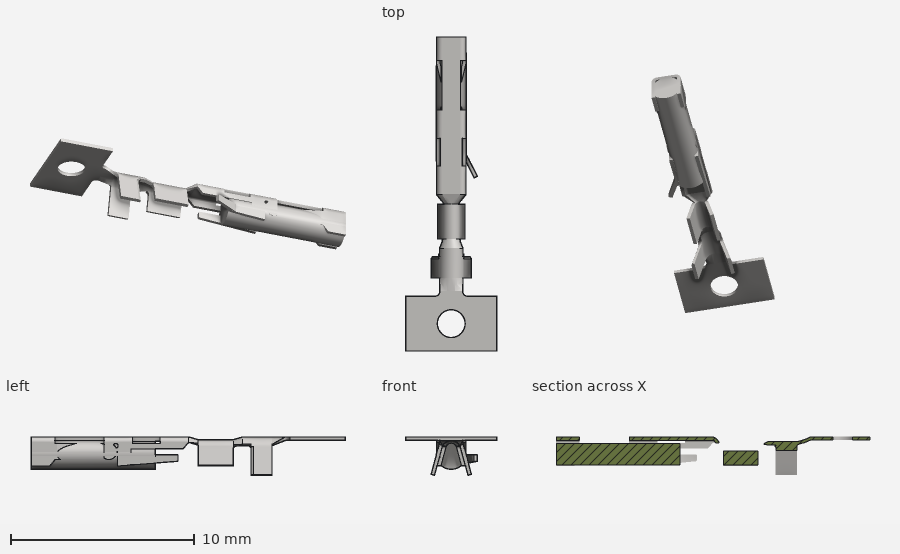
import cadquery as cq
import math


SHEET = 0.2
REACH = 10.0

CARRIER_WIDTH = 4.97
CARRIER_LENGTH = 3.0
PILOT_DIAMETER = 1.5
PILOT_Y = CARRIER_LENGTH / 2
NECK_WIDTH = 1.26
NECK_FILLET = 0.25
NECK_END = CARRIER_LENGTH + NECK_FILLET

WING_FLARE = 15.0
WING_ARC = 90.0 - WING_FLARE
BARE_ARC = 64.0
INSULATION_RADIUS = 0.72
INSULATION_START = 3.98
INSULATION_WING_END = 5.14
INSULATION_END = 5.59
INSULATION_BOTTOM = -2.1
ROOT_FILLET = 0.15
WING_BEVEL_LENGTH = 0.13
WING_BEVEL_DEPTH = 0.07
CONDUCTOR_RADIUS = 0.5
CONDUCTOR_TOP = -0.15
CONDUCTOR_START = 6.1
CONDUCTOR_END = 8.01
CONDUCTOR_BOTTOM = -1.6
CONDUCTOR_END_ARC = 51.0

BOX_START = 8.53
TIP = 17.1
BOX_WIDTH = 1.62
HALF_BOX = BOX_WIDTH / 2
HALF_INSIDE = HALF_BOX - SHEET
BOX_CORNER = 0.31
WALL_BOTTOM = -1.59
TAIL_BOTTOM = -0.66
TAIL_BEVEL = 0.3
SLOT_END = 11.67

CORE_RADIUS = 0.817
CORE_Z = -0.957
CORE_START = 10.34

TONGUE_ROOT = 12.41
TONGUE_END = 9.1
TONGUE_TOP = -0.97
TONGUE_TIP_BOTTOM = -1.34
TONGUE_TIP_RADIUS = 0.06
TONGUE_HINGE = 10.73
TONGUE_BEND = 27.0
BENT_TONGUE_LENGTH = 1.36

ARM_TOP = -0.36
ARM_BOTTOM = -1.237
ARM_ROOT = 15.69
ARM_PEAK_NEAR_TIP = 14.4
ARM_PEAK_REAR = 13.5
ARM_REAR = 13.13
ARM_PRESS = 0.31
ARM_REAR_PRESS = 0.21
ARM_END_RADIUS = (ARM_TOP - ARM_BOTTOM) / 2
ARM_END_Y = 12.87
ARM_END_Z = (ARM_TOP + ARM_BOTTOM) / 2
TIP_WALL_BOTTOM_END = 16.08
TIP_WALL_BEVEL_END = 15.79
RELIEF_RADIUS = 0.13
RELIEF_Y = 12.5
RELIEF_Z = -0.49

FRONT_WINDOW = (ARM_REAR, 15.81)
FRONT_WINDOW_INNER_X = 0.5
REAR_WINDOW = (10.08, 11.58)
REAR_WINDOW_INNER_X = 0.59
WINDOW_BOTTOM = ARM_TOP


def section_plane(y):
    """Cross-section plane at the given Y, drawn in (X, Z), extruding toward -Y."""
    return cq.Workplane("XZ", origin=(0, y, 0))


def block(x_range, y_range, z_range):
    """Axis-aligned block between pairs of limits."""
    size = [high - low for low, high in (x_range, y_range, z_range)]
    corner = (x_range[0], y_range[0], z_range[0])
    return cq.Workplane("XY", origin=corner).box(*size, centered=False)


def arch_points(radius, center_z, half_angle):
    """Ends and middles of three equal arcs over an arch, left to right."""
    angles = [math.radians(half_angle * step / 3) for step in range(-3, 4)]
    return [(radius * math.sin(a), center_z + radius * math.cos(a)) for a in angles]


def corner_points(radius):
    """Ends and middles of a box corner arc, flat top and second corner arc, left to right."""
    center_x = HALF_BOX - BOX_CORNER
    diagonal = radius * math.sqrt(0.5)
    right = [
        (center_x, radius - BOX_CORNER),
        (center_x + diagonal, diagonal - BOX_CORNER),
        (center_x + radius, -BOX_CORNER),
    ]
    left = [(-x, z) for x, z in reversed(right)]
    return left + [(0, radius - BOX_CORNER)] + right


def strip_points(z):
    """Ends and middles of three equal lengths across the flat neck, left to right."""
    return [(NECK_WIDTH / 2 * step / 3, z) for step in range(-3, 4)]


def trace_bands(path, points):
    """Extend a path through three bands, straight or curved, each given by middle and end."""
    for start, middle, end in (points[0:3], points[2:5], points[4:7]):
        straight = math.isclose(start[1], middle[1]) and math.isclose(middle[1], end[1])
        path = path.lineTo(*end) if straight else path.threePointArc(middle, end)
    return path


def sheet_section(y, outer, inner):
    """Closed sheet section between an outer and an inner line of three bands each."""
    path = trace_bands(section_plane(y).moveTo(*outer[0]), outer)
    inner = inner[::-1]
    return trace_bands(path.lineTo(*inner[0]), inner).close()


def arch_section(y, radius, top, half_angle):
    """Closed section of sheet bent to an arch of the given outer radius and top height."""
    center_z = top - radius
    outer = arch_points(radius, center_z, half_angle)
    inner = arch_points(radius - SHEET, center_z, half_angle)
    return sheet_section(y, outer, inner)


def blend(section, other_section):
    """Solid blending one sheet section into another."""
    wires = [item.wire().val() for item in (section, other_section)]
    return cq.Workplane(obj=cq.Solid.makeLoft(wires, True))


def make_carrier():
    half_width = CARRIER_WIDTH / 2
    half_neck = NECK_WIDTH / 2
    fillet_end_x = half_neck + NECK_FILLET
    return (
        cq.Workplane("XY", origin=(0, 0, -SHEET))
        .moveTo(-half_width, 0)
        .lineTo(half_width, 0)
        .lineTo(half_width, CARRIER_LENGTH)
        .lineTo(fillet_end_x, CARRIER_LENGTH)
        .radiusArc((half_neck, NECK_END), NECK_FILLET)
        .lineTo(-half_neck, NECK_END)
        .radiusArc((-fillet_end_x, CARRIER_LENGTH), NECK_FILLET)
        .lineTo(-half_width, CARRIER_LENGTH)
        .close()
        .extrude(SHEET)
        .cut(cq.Workplane("XY").center(0, PILOT_Y).circle(PILOT_DIAMETER / 2).extrude(-SHEET))
    )


def both_sides(solid):
    """The solid together with its mirror image across the middle plane."""
    return solid.union(solid.mirror("YZ"))


def make_wing(y_start, y_end, radius, top, bottom, bevel_length=0.0, bevel_depth=0.0):
    """Right-hand wing tangent to the arch, optionally bevelled on its rear outer edge."""
    flare = math.radians(WING_FLARE)
    root_x = radius * math.cos(flare)
    root_z = top - radius + radius * math.sin(flare)
    length = (root_z - SHEET * math.sin(flare) - bottom) / math.cos(flare)
    plane = cq.Plane(
        origin=(root_x, 0, root_z),
        xDir=(0, 1, 0),
        normal=(math.sin(flare), 0, -math.cos(flare)),
    )
    outline = [(y_start, 0), (y_start, -SHEET), (y_end, -SHEET)]
    if bevel_length > 0:
        outline += [(y_end, -bevel_depth), (y_end - bevel_length, 0)]
    else:
        outline += [(y_end, 0)]
    return cq.Workplane(plane).polyline(outline).close().extrude(length)


def make_root_fillet(wing_edge, direction, radius, top):
    """Rounded inside corners between a wing edge and the free edge of the neighbouring bare arch."""
    free_edge_z = top - radius + (radius - SHEET) * math.cos(math.radians(BARE_ARC))
    center_y = wing_edge + direction * ROOT_FILLET
    center_z = free_edge_z - ROOT_FILLET
    y_range = sorted((wing_edge, center_y))
    sheet = arch_section(y_range[1], radius, top, WING_ARC).extrude(ROOT_FILLET)
    sheet = sheet.union(both_sides(make_wing(*y_range, radius, top, center_z - SHEET)))
    corner = block((-REACH, REACH), y_range, (center_z, free_edge_z))
    rounding = cq.Workplane("YZ").center(center_y, center_z).circle(ROOT_FILLET).extrude(REACH, both=True)
    return sheet.intersect(corner.cut(rounding))


def make_insulation_barrel():
    winged_length = INSULATION_WING_END - INSULATION_START
    winged = arch_section(INSULATION_WING_END, INSULATION_RADIUS, 0, WING_ARC).extrude(winged_length)
    bare_length = INSULATION_END - INSULATION_WING_END
    bare = arch_section(INSULATION_END, INSULATION_RADIUS, 0, BARE_ARC).extrude(bare_length)
    wing = make_wing(
        INSULATION_START,
        INSULATION_WING_END,
        INSULATION_RADIUS,
        0,
        INSULATION_BOTTOM,
        WING_BEVEL_LENGTH,
        WING_BEVEL_DEPTH,
    )
    fillets = make_root_fillet(INSULATION_WING_END, 1, INSULATION_RADIUS, 0)
    return winged.union(bare).union(both_sides(wing)).union(fillets)


def make_conductor_barrel():
    length = CONDUCTOR_END - CONDUCTOR_START
    arch = arch_section(CONDUCTOR_END, CONDUCTOR_RADIUS, CONDUCTOR_TOP, WING_ARC).extrude(length)
    wing = make_wing(
        CONDUCTOR_START, CONDUCTOR_END, CONDUCTOR_RADIUS, CONDUCTOR_TOP, CONDUCTOR_BOTTOM
    )
    fillets = make_root_fillet(CONDUCTOR_START, -1, CONDUCTOR_RADIUS, CONDUCTOR_TOP)
    return arch.union(both_sides(wing)).union(fillets)


def make_blends():
    """Formed lengths joining the carrier, the two barrels and the box."""
    neck = blend(
        sheet_section(NECK_END, strip_points(0), strip_points(-SHEET)),
        arch_section(INSULATION_START, INSULATION_RADIUS, 0, BARE_ARC),
    )
    middle = blend(
        arch_section(INSULATION_END, INSULATION_RADIUS, 0, BARE_ARC),
        arch_section(CONDUCTOR_START, CONDUCTOR_RADIUS, CONDUCTOR_TOP, BARE_ARC),
    )
    shoulder = blend(
        arch_section(CONDUCTOR_END, CONDUCTOR_RADIUS, CONDUCTOR_TOP, CONDUCTOR_END_ARC),
        sheet_section(BOX_START, corner_points(BOX_CORNER), corner_points(BOX_CORNER - SHEET)),
    )
    return neck.union(middle).union(shoulder)


def make_box_shell():
    """Top plate with rounded corners and two side walls, open at the bottom."""
    outer = corner_points(BOX_CORNER)
    inner = corner_points(BOX_CORNER - SHEET)[::-1]
    path = section_plane(TIP).moveTo(-HALF_BOX, WALL_BOTTOM).lineTo(*outer[0])
    path = trace_bands(path, outer).lineTo(HALF_BOX, WALL_BOTTOM)
    path = path.lineTo(HALF_INSIDE, WALL_BOTTOM).lineTo(*inner[0])
    path = trace_bands(path, inner).lineTo(-HALF_INSIDE, WALL_BOTTOM).close()
    return path.extrude(TIP - BOX_START)


def make_wall_outline():
    """Side outline of the box, without the arm openings and tail slot, across its full width."""
    tail_corner_y = BOX_START + TAIL_BEVEL
    rear = (
        cq.Workplane("YZ")
        .moveTo(BOX_START, 0)
        .lineTo(BOX_START, -BOX_CORNER)
        .lineTo(tail_corner_y, TAIL_BOTTOM)
        .lineTo(SLOT_END, TAIL_BOTTOM)
        .lineTo(SLOT_END, TONGUE_TOP)
        .lineTo(CORE_START, TONGUE_TOP)
        .lineTo(CORE_START, tongue_bottom_at(CORE_START))
        .lineTo(TONGUE_ROOT, WALL_BOTTOM)
        .lineTo(TONGUE_ROOT, ARM_END_Z)
        .lineTo(ARM_REAR, ARM_END_Z)
        .lineTo(ARM_REAR, 0)
        .close()
    )
    tip = (
        cq.Workplane("YZ")
        .moveTo(TIP, 0)
        .lineTo(TIP, WALL_BOTTOM)
        .lineTo(TIP_WALL_BOTTOM_END, WALL_BOTTOM)
        .lineTo(TIP_WALL_BEVEL_END, ARM_BOTTOM)
        .lineTo(ARM_ROOT, ARM_BOTTOM)
        .lineTo(ARM_ROOT, ARM_TOP)
        .lineTo(ARM_REAR, ARM_TOP)
        .lineTo(ARM_REAR, 0)
        .close()
    )
    return rear.extrude(HALF_BOX, both=True).union(tip.extrude(HALF_BOX, both=True))


def tongue_bottom_at(y):
    """Height of the tapering lower edge of a tongue."""
    share = (TONGUE_ROOT - y) / (TONGUE_ROOT - TONGUE_END)
    return WALL_BOTTOM + share * (TONGUE_TIP_BOTTOM - WALL_BOTTOM)


def make_tongue(y_start, y_end):
    """Flat right-hand tongue in the plane of the side wall, rounded at its free end."""
    outline = [
        (y_start, TONGUE_TOP),
        (y_end, TONGUE_TOP),
        (y_end, TONGUE_TIP_BOTTOM),
        (y_start, tongue_bottom_at(y_start)),
    ]
    tongue = cq.Workplane("YZ", origin=(HALF_INSIDE, 0, 0)).polyline(outline).close().extrude(SHEET)
    return tongue.faces("<Y").edges("|X").fillet(TONGUE_TIP_RADIUS)


def make_tongues():
    """Straight tongue on the left wall and an outward bent one on the right wall."""
    left = make_tongue(CORE_START, TONGUE_END).mirror("YZ")
    hinge = (HALF_BOX, TONGUE_HINGE)
    right = make_tongue(TONGUE_HINGE, TONGUE_HINGE - BENT_TONGUE_LENGTH).rotate(
        (*hinge, 0), (*hinge, 1), TONGUE_BEND
    )
    return left, right


def make_arm():
    """Right-hand spring arm pressed inward, with its rounded rear end flush with the wall."""
    outer = [
        (HALF_BOX, ARM_ROOT),
        (HALF_BOX - ARM_PRESS, ARM_PEAK_NEAR_TIP),
        (HALF_BOX - ARM_PRESS, ARM_PEAK_REAR),
        (HALF_BOX - ARM_REAR_PRESS, ARM_REAR),
    ]
    inner = [(x - SHEET, y) for x, y in reversed(outer)]
    strip = (
        cq.Workplane("XY", origin=(0, 0, ARM_BOTTOM))
        .polyline(outer + inner)
        .close()
        .extrude(ARM_TOP - ARM_BOTTOM)
    )
    rear_end = (
        cq.Workplane("YZ", origin=(HALF_INSIDE, 0, 0))
        .center(ARM_END_Y, ARM_END_Z)
        .circle(ARM_END_RADIUS)
        .extrude(SHEET)
        .intersect(block((0, HALF_BOX), (TONGUE_ROOT, ARM_REAR), (ARM_BOTTOM, ARM_TOP)))
    )
    return strip.union(rear_end)


def make_corner_window(y_range, inner_x):
    """Right-hand cutter opening an upper corner of the box."""
    return block((inner_x, REACH), y_range, (WINDOW_BOTTOM, REACH))


def make_receptacle():
    core = section_plane(TIP).center(0, CORE_Z).circle(CORE_RADIUS).extrude(TIP - CORE_START)
    reliefs = cq.Workplane("YZ").center(RELIEF_Y, RELIEF_Z).circle(RELIEF_RADIUS).extrude(REACH, both=True)
    shell = make_box_shell().intersect(make_wall_outline()).cut(reliefs)
    for y_range, inner_x in (
        (FRONT_WINDOW, FRONT_WINDOW_INNER_X),
        (REAR_WINDOW, REAR_WINDOW_INNER_X),
    ):
        shell = shell.cut(both_sides(make_corner_window(y_range, inner_x)))
    left_tongue, right_tongue = make_tongues()
    return shell.union(core).union(both_sides(make_arm())).union(left_tongue).union(right_tongue)


result = (
    make_carrier()
    .union(make_insulation_barrel())
    .union(make_conductor_barrel())
    .union(make_blends())
    .union(make_receptacle())
)